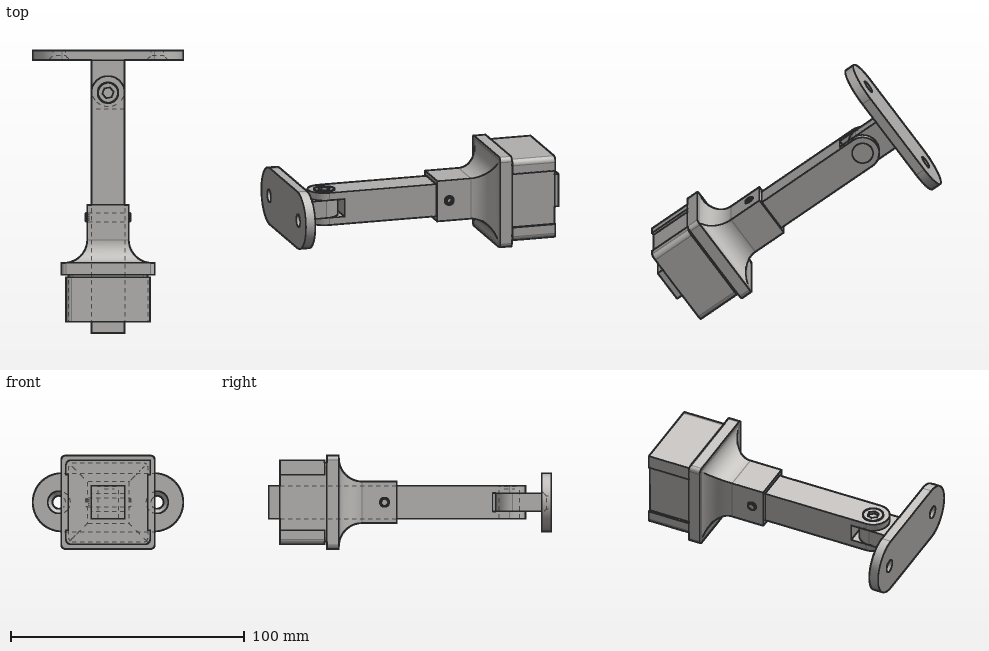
import cadquery as cq
import math


total_reach = 121.0

plate_length = 64.5
plate_height = 25.0
plate_thickness = 4.2
mount_hole_spacing = 42.0
mount_hole_diameter = 5.5
countersink_diameter = 9.5
countersink_angle = 90
tongue_thickness = 7.7
tongue_round_reach = 16.8

bar_width = 14.3
pivot_reach = 18.2
fork_slot_end_reach = 25.0

hinge_screw_diameter = 9.0
hinge_screw_chamfer = 0.2
hinge_hex_flats = 4.2
hinge_hex_turn = 10
hinge_hex_depth = 1.3

sleeve_width = 17.9
sleeve_start_reach = 66.1
flare_start_reach = 81.1
flange_start_reach = 90.9
flange_end_reach = 96.1
flange_width = 40.0
flange_corner_radius = 1.9
neck_width = 33.9
neck_corner_radius = 1.9
block_start_reach = 97.0
block_end_reach = 116.2
block_width = 36.0
block_corner_radius = 2.3
side_recess_height = 23.7

set_screw_reach = 71.4
set_screw_diameter = 4.0
set_screw_length = 19.5
set_screw_chamfer = 0.5
set_hex_flats = 2.4
set_hex_turn = -15
set_hex_depth = 1.6


def square_prism(width, start_reach, end_reach):
    """Square prism centred on the bracket axis."""
    return cq.Workplane("XZ", (0, -start_reach, 0)).rect(width, width).extrude(end_reach - start_reach)


def hex_corner_diameter(flats):
    return flats / math.cos(math.pi / 6)


def hinge_bore():
    """Cylinder along the hinge axis, through the full height of the bar."""
    return (
        cq.Workplane("XY", (0, -pivot_reach, -bar_width / 2))
        .circle(hinge_screw_diameter / 2)
        .extrude(bar_width)
    )


def set_screw_rod():
    """Cylinder along the set screw axis, across the full width of the sleeve."""
    return (
        cq.Workplane("YZ", (-set_screw_length / 2, -set_screw_reach, 0))
        .circle(set_screw_diameter / 2)
        .extrude(set_screw_length)
    )


def make_wall_plate():
    plate = cq.Workplane("XZ").slot2D(plate_length, plate_height).extrude(plate_thickness)
    plate = (
        plate.faces("<Y").workplane(origin=(0, -plate_thickness, 0))
        .rarray(mount_hole_spacing, 1.2, 2, 1)
        .cskHole(mount_hole_diameter, countersink_diameter, countersink_angle)
    )
    tongue = (
        cq.Workplane("XY", (0, 0, -tongue_thickness / 2))
        .moveTo(-bar_width / 2, -plate_thickness)
        .lineTo(-bar_width / 2, -tongue_round_reach)
        .threePointArc((0, -tongue_round_reach - bar_width / 2), (bar_width / 2, -tongue_round_reach))
        .lineTo(bar_width / 2, -plate_thickness)
        .close()
        .extrude(tongue_thickness)
    )
    return plate.union(tongue).cut(hinge_bore())


def make_bar():
    bar = (
        cq.Workplane("XY", (0, 0, -bar_width / 2))
        .moveTo(-bar_width / 2, -total_reach)
        .lineTo(-bar_width / 2, -pivot_reach)
        .threePointArc((0, -pivot_reach + bar_width / 2), (bar_width / 2, -pivot_reach))
        .lineTo(bar_width / 2, -total_reach)
        .close()
        .extrude(bar_width)
    )
    fork_slot = cq.Workplane("XZ").rect(bar_width, tongue_thickness).extrude(fork_slot_end_reach)
    return bar.cut(fork_slot).cut(hinge_bore()).cut(set_screw_rod())


def make_hinge_screw():
    return (
        hinge_bore()
        .faces(">Z").edges().chamfer(hinge_screw_chamfer)
        .faces(">Z").workplane()
        .transformed(rotate=(0, 0, hinge_hex_turn))
        .polygon(6, hex_corner_diameter(hinge_hex_flats))
        .cutBlind(-hinge_hex_depth)
    )


def flare_profile(plane):
    """Solid along the plane normal whose two sides curve outward as concave quarter rounds."""
    radius = flange_start_reach - flare_start_reach
    sleeve_half = sleeve_width / 2
    foot_half = sleeve_half + radius
    arc_middle_x = foot_half - radius * math.cos(math.pi / 4)
    arc_middle_reach = flare_start_reach + radius * math.sin(math.pi / 4)
    return (
        cq.Workplane(plane)
        .moveTo(-sleeve_half, -flare_start_reach)
        .lineTo(sleeve_half, -flare_start_reach)
        .threePointArc((arc_middle_x, -arc_middle_reach), (foot_half, -flange_start_reach))
        .lineTo(-foot_half, -flange_start_reach)
        .threePointArc((-arc_middle_x, -arc_middle_reach), (-sleeve_half, -flare_start_reach))
        .close()
        .extrude(foot_half, both=True)
    )


def make_flare():
    """Flare that curves outward on all four sides, from the sleeve to the flange."""
    across_z = cq.Plane(origin=(0, 0, 0), xDir=(0, 0, 1), normal=(-1, 0, 0))
    return flare_profile("XY").intersect(flare_profile(across_z))


def make_end_block():
    """Block with one sharp corner (+X, +Z) and a shallow recess down each X side."""
    block = (
        square_prism(block_width, block_start_reach, block_end_reach)
        .edges("|Y").edges("<X or <Z")
        .fillet(block_corner_radius)
    )
    recess_depth = (block_width - neck_width) / 2
    recesses = (
        cq.Workplane("XZ", (0, -block_start_reach, 0))
        .rarray(neck_width + recess_depth, 1.2, 2, 1)
        .rect(recess_depth, side_recess_height)
        .extrude(block_end_reach - block_start_reach)
    )
    return block.cut(recesses)


def make_socket():
    sleeve = square_prism(sleeve_width, sleeve_start_reach, flare_start_reach)
    flange = (
        square_prism(flange_width, flange_start_reach, flange_end_reach)
        .edges("|Y").fillet(flange_corner_radius)
    )
    neck = (
        square_prism(neck_width, flange_end_reach, block_start_reach)
        .edges("|Y").fillet(neck_corner_radius)
    )
    bar_hole = square_prism(bar_width, sleeve_start_reach, block_end_reach)
    outside = sleeve.union(make_flare()).union(flange).union(neck).union(make_end_block())
    return outside.cut(bar_hole).cut(set_screw_rod())


def make_set_screw():
    """Threadless set screw across sleeve and bar, with its hex socket at the -X end."""
    return (
        set_screw_rod()
        .edges("%CIRCLE").chamfer(set_screw_chamfer)
        .faces("<X").workplane()
        .transformed(rotate=(0, 0, set_hex_turn))
        .polygon(6, hex_corner_diameter(set_hex_flats))
        .cutBlind(-set_hex_depth)
    )


wall_plate = make_wall_plate()
bar = make_bar()
hinge_screw = make_hinge_screw()
socket = make_socket()
set_screw = make_set_screw()

result = cq.Compound.makeCompound([
    wall_plate.solids().val(),
    bar.solids().val(),
    hinge_screw.solids().val(),
    socket.solids().val(),
    set_screw.solids().val(),
])